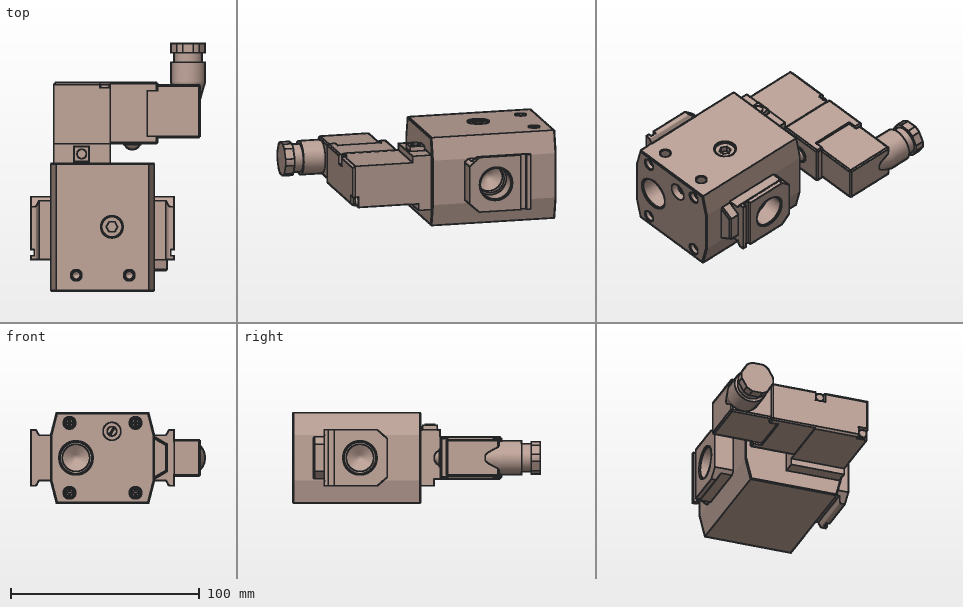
import cadquery as cq
import math


HOUSING_LENGTH = 68.0
HOUSING_HEIGHT = 48.0
HOUSING_HALF_WIDTH = 27.5
TOP_HALF_WIDTH = 24.5
SIDE_HALF_HEIGHT = 12.1
END_CHAMFER = 0.5

FLANGE_REACH = 38.0
FLANGE_FRONT = 16.8
FLANGE_BACK = 50.2
FLANGE_HALF_HEIGHT = 14.9
FLANGE_RIM = 2.8
FLANGE_RIM_FILLET = 1.0
FLANGE_NECK_REACH = FLANGE_REACH - 4.3
FLANGE_CORNER_Y = 5.3
FLANGE_CORNER_Z = 4.6
FLANGE_GROOVE_START = 19.0
FLANGE_GROOVE_WIDTH = 3.2
FLANGE_GROOVE_DEPTH = 1.7

PORT_MOUTH_RADIUS = 9.1
PORT_THREAD_RADIUS = 8.4
PORT_THREAD_DEPTH = 10.7
PORT_DRILL_RADIUS = 7.2
PORT_DRILL_DEPTH = 14.5
DRILL_POINT_ANGLE = 118
SIDE_PORT_Y = 35.8
FRONT_PORT_X = -14.1

SCREW_HALF_SPACING_X = 17.5
SCREW_HALF_SPACING_Z = 18.5
SCREW_MOUTH_RADIUS = 3.3
SCREW_HOLE_RADIUS = 2.9
SCREW_DEPTH = 3.2
SCREW_CROWN_RADIUS = 2.1
SCREW_CROWN_HEIGHT = 0.7
CROSS_LENGTH = 2.6
CROSS_WIDTH = 0.9
CROSS_DEPTH = 1.0

NEEDLE_X = 5.0
NEEDLE_Z = 14.1
NEEDLE_HOLE_RADIUS = 4.7
NEEDLE_HOLE_DEPTH = 4.7
NEEDLE_RADIUS = 2.5
NEEDLE_HEIGHT = 2.0
NEEDLE_SLOT_WIDTH = 0.7
NEEDLE_SLOT_DEPTH = 0.8
NEEDLE_SLOT_ANGLE = 60

PLUG_X = 5.0
PLUG_Y = 34.2
PLUG_MOUTH_RADIUS = 5.9
PLUG_RADIUS = 5.4
PLUG_DEPTH = 1.0
SOCKET_ACROSS_FLATS = 5.3
SOCKET_DEPTH = 3.3

MOUNT_MIDDLE_X = 0.1
MOUNT_HALF_SPACING = 14.1
MOUNT_Y = 8.5
MOUNT_MOUTH_RADIUS = 3.0
MOUNT_THREAD_RADIUS = 2.6
MOUNT_THREAD_DEPTH = 7.9
MOUNT_DRILL_RADIUS = 2.1
MOUNT_DRILL_DEPTH = 9.2

GAUGE_REACH = 34.3
GAUGE_FRONT = 10.9
GAUGE_ROOT_HALF_HEIGHT = 11.2
GAUGE_TIP_HALF_HEIGHT = 7.2
GAUGE_CHAMFER = 0.8

PILOT_LEFT = -25.9
PILOT_RIGHT = 4.2
PILOT_BACK = 110.9
PILOT_HALF_HEIGHT = 11.3
PILOT_BACK_CHAMFER = 1.2
FOOT_HALF_HEIGHT = 14.9
FOOT_TOP_LENGTH = 10.3
FOOT_BOTTOM_LENGTH = 7.1
POCKET_SIZE = 5.7
POCKET_DEPTH = 2.9
PILOT_SCREW_RADIUS = 2.2
PILOT_SCREW_HEIGHT = 1.6

OVERRIDE_X = -11.0
OVERRIDE_Y = HOUSING_LENGTH + 4.9
OVERRIDE_SIZE = 8.2
OVERRIDE_HEIGHT = 2.5
OVERRIDE_TAPER = 5
BUTTON_RADIUS = 2.5
BUTTON_HEIGHT = 0.4

COIL_RIGHT = 29.2
COIL_FRONT = 78.2
COIL_HALF_HEIGHT = 10.9
EDGE_CHAMFER = 0.8
COIL_SCREW_X = 15.8
COIL_SCREW_RADIUS = 4.6
COIL_SCREW_DOME_RADIUS = 4.0
COIL_SCREW_HEIGHT = 3.2
COIL_SCREW_RIM = 0.5

CONNECTOR_LEFT = 23.8
CONNECTOR_RIGHT = 51.8
CONNECTOR_FRONT = 81.5
CONNECTOR_BACK = 109.7
CONNECTOR_HALF_HEIGHT = 9.7
TONGUE_FRONT = CONNECTOR_FRONT + EDGE_CHAMFER
TONGUE_BACK = 106.4
GLAND_X = 45.4
GLAND_RADIUS = 9.1
GLAND_CONE_START = 102.2
GLAND_CONE_END = 110.7
GLAND_CONE_RADIUS = 6.6
GLAND_END = 121.5
GLAND_NECK_RADIUS = 7.5
NUT_START = 126.5
NUT_ACROSS_FLATS = 17.2
OVERALL_LENGTH = 131.5


def box(x_range, y_range, z_range):
    """A box between the given limits."""
    size = [high - low for low, high in (x_range, y_range, z_range)]
    return cq.Workplane("XY").box(*size, centered=False).translate((x_range[0], y_range[0], z_range[0]))


def symmetric(half):
    """The limits of a size centred on zero."""
    return (-half, half)


def hexagon(across_flats, plane):
    """A hexagon outline with two corners on the first axis of the plane."""
    corner_diameter = across_flats / math.cos(math.pi / 6)
    return cq.Workplane(plane).polygon(6, corner_diameter)


def chamfered_block(x_range, y_range, z_range):
    """A box with chamfered edges, except around its -X face."""
    block = box(x_range, y_range, z_range)
    return block.faces(">X or <Y or >Y").edges("not <X").chamfer(EDGE_CHAMFER)


def turned(profile, origin, direction):
    """A solid of revolution from (radius, height) points; height runs along direction."""
    plane = cq.Plane(origin=origin, normal=direction)
    outline = cq.Workplane("XZ").polyline(profile).close()
    solid = outline.revolve(360, (0, 0, 0), (0, 1, 0)).val()
    return cq.Workplane(solid.moved(cq.Location(plane)))


def stepped_cutter(mouth_radius, radius, depth, drill_radius, drill_depth, origin, direction):
    """A chamfered hole, narrowing to a drilled hole that ends in a drill point."""
    mouth_chamfer = mouth_radius - radius
    point_depth = drill_radius / math.tan(math.radians(DRILL_POINT_ANGLE / 2))
    profile = [
        (0, 0),
        (mouth_radius, 0),
        (radius, mouth_chamfer),
        (radius, depth),
        (drill_radius, depth),
        (drill_radius, drill_depth),
        (0, drill_depth + point_depth),
    ]
    return turned(profile, origin, direction)


def port_cutter(origin, direction):
    """A port with a thread bore and a smaller drilled bore behind it."""
    return stepped_cutter(
        PORT_MOUTH_RADIUS, PORT_THREAD_RADIUS, PORT_THREAD_DEPTH,
        PORT_DRILL_RADIUS, PORT_DRILL_DEPTH, origin, direction,
    )


def housing_block():
    half_height = HOUSING_HEIGHT / 2
    outline = [
        (-TOP_HALF_WIDTH, half_height),
        (TOP_HALF_WIDTH, half_height),
        (HOUSING_HALF_WIDTH, SIDE_HALF_HEIGHT),
        (HOUSING_HALF_WIDTH, -SIDE_HALF_HEIGHT),
        (TOP_HALF_WIDTH, -half_height),
        (-TOP_HALF_WIDTH, -half_height),
        (-HOUSING_HALF_WIDTH, -SIDE_HALF_HEIGHT),
        (-HOUSING_HALF_WIDTH, SIDE_HALF_HEIGHT),
    ]
    block = cq.Workplane("XZ").polyline(outline).close().extrude(-HOUSING_LENGTH)
    return block.faces("<Y or >Y").chamfer(END_CHAMFER)


def left_flange():
    """A dovetail-edged plate on a neck, with its back corners cut off and a groove across it."""
    upper_edge = [
        (0, SIDE_HALF_HEIGHT),
        (-FLANGE_NECK_REACH, SIDE_HALF_HEIGHT),
        (-FLANGE_REACH + FLANGE_RIM, FLANGE_HALF_HEIGHT),
        (-FLANGE_REACH, FLANGE_HALF_HEIGHT),
    ]
    lower_edge = [(x, -z) for x, z in reversed(upper_edge)]
    section = cq.Workplane("XZ").workplane(offset=-FLANGE_FRONT).polyline(upper_edge + lower_edge).close()
    flange = section.extrude(FLANGE_FRONT - FLANGE_BACK)
    rim_corners = cq.selectors.BoxSelector(
        (-FLANGE_REACH + FLANGE_RIM / 2, FLANGE_FRONT, -2 * FLANGE_HALF_HEIGHT),
        (-FLANGE_NECK_REACH - FLANGE_RIM_FILLET / 2, FLANGE_BACK, 2 * FLANGE_HALF_HEIGHT),
    )
    flange = flange.edges("|Y").edges(rim_corners).fillet(FLANGE_RIM_FILLET)

    corner_z = FLANGE_HALF_HEIGHT - FLANGE_CORNER_Z
    corner_y = FLANGE_BACK - FLANGE_CORNER_Y
    side_outline = [
        (FLANGE_FRONT, FLANGE_HALF_HEIGHT),
        (corner_y, FLANGE_HALF_HEIGHT),
        (FLANGE_BACK, corner_z),
        (FLANGE_BACK, -corner_z),
        (corner_y, -FLANGE_HALF_HEIGHT),
        (FLANGE_FRONT, -FLANGE_HALF_HEIGHT),
    ]
    envelope = cq.Workplane("YZ").polyline(side_outline).close().extrude(-FLANGE_REACH)
    groove = box(
        (-FLANGE_REACH, -FLANGE_REACH + FLANGE_GROOVE_DEPTH),
        (FLANGE_GROOVE_START, FLANGE_GROOVE_START + FLANGE_GROOVE_WIDTH),
        symmetric(FLANGE_HALF_HEIGHT),
    )
    return flange.intersect(envelope).cut(groove)


def gauge_block():
    """A tapered block in front of the right flange."""
    outline = [
        (0, GAUGE_ROOT_HALF_HEIGHT),
        (HOUSING_HALF_WIDTH, GAUGE_ROOT_HALF_HEIGHT),
        (GAUGE_REACH, GAUGE_TIP_HALF_HEIGHT),
        (GAUGE_REACH, -GAUGE_TIP_HALF_HEIGHT),
        (HOUSING_HALF_WIDTH, -GAUGE_ROOT_HALF_HEIGHT),
        (0, -GAUGE_ROOT_HALF_HEIGHT),
    ]
    block = cq.Workplane("XZ").workplane(offset=-GAUGE_FRONT).polyline(outline).close()
    return block.extrude(GAUGE_FRONT - FLANGE_FRONT).faces("<Y").chamfer(GAUGE_CHAMFER)


def cover_screw_cutter(x, z):
    """The recess above a sunk screw head, including its cross slot."""
    mouth_chamfer = SCREW_MOUTH_RADIUS - SCREW_HOLE_RADIUS
    crown_depth = SCREW_DEPTH - SCREW_CROWN_HEIGHT
    profile = [
        (0, 0),
        (SCREW_MOUTH_RADIUS, 0),
        (SCREW_HOLE_RADIUS, mouth_chamfer),
        (SCREW_HOLE_RADIUS, SCREW_DEPTH),
        (SCREW_CROWN_RADIUS, crown_depth),
        (0, crown_depth),
    ]
    recess = turned(profile, (x, 0, z), (0, 1, 0))
    for width, height in ((CROSS_LENGTH, CROSS_WIDTH), (CROSS_WIDTH, CROSS_LENGTH)):
        slot = box(symmetric(width / 2), (crown_depth, crown_depth + CROSS_DEPTH), symmetric(height / 2))
        recess = recess.union(slot.translate((x, 0, z)))
    return recess


def needle_cutter():
    """A round recess around a slotted needle that stands up from its floor."""
    tip_depth = NEEDLE_HOLE_DEPTH - NEEDLE_HEIGHT
    profile = [
        (0, 0),
        (NEEDLE_HOLE_RADIUS, 0),
        (NEEDLE_HOLE_RADIUS, NEEDLE_HOLE_DEPTH),
        (NEEDLE_RADIUS, NEEDLE_HOLE_DEPTH),
        (NEEDLE_RADIUS, tip_depth),
        (0, tip_depth),
    ]
    recess = turned(profile, (0, 0, 0), (0, 1, 0))
    slot = box(
        symmetric(NEEDLE_RADIUS),
        (tip_depth, tip_depth + NEEDLE_SLOT_DEPTH),
        symmetric(NEEDLE_SLOT_WIDTH / 2),
    ).rotate((0, 0, 0), (0, 1, 0), -NEEDLE_SLOT_ANGLE)
    return recess.union(slot).translate((NEEDLE_X, 0, NEEDLE_Z))


def plug_cutter():
    """The chamfered recess above a sunk plug, with its hexagon socket."""
    profile = [
        (0, 0),
        (PLUG_MOUTH_RADIUS, 0),
        (PLUG_RADIUS, PLUG_MOUTH_RADIUS - PLUG_RADIUS),
        (PLUG_RADIUS, PLUG_DEPTH),
        (0, PLUG_DEPTH),
    ]
    top = HOUSING_HEIGHT / 2
    recess = turned(profile, (PLUG_X, PLUG_Y, top), (0, 0, -1))
    socket = hexagon(SOCKET_ACROSS_FLATS, "XY").extrude(-SOCKET_DEPTH)
    return recess.union(socket.translate((PLUG_X, PLUG_Y, top - PLUG_DEPTH)))


def build_housing():
    flange = left_flange()
    housing = housing_block().union(flange).union(flange.mirror("YZ")).union(gauge_block())

    housing = housing.cut(port_cutter((FRONT_PORT_X, 0, 0), (0, 1, 0)))
    for side in (-1, 1):
        housing = housing.cut(port_cutter((side * FLANGE_REACH, SIDE_PORT_Y, 0), (-side, 0, 0)))

    for x in symmetric(SCREW_HALF_SPACING_X):
        for z in symmetric(SCREW_HALF_SPACING_Z):
            housing = housing.cut(cover_screw_cutter(x, z))

    for offset in symmetric(MOUNT_HALF_SPACING):
        mouth = (MOUNT_MIDDLE_X + offset, MOUNT_Y, HOUSING_HEIGHT / 2)
        housing = housing.cut(stepped_cutter(
            MOUNT_MOUTH_RADIUS, MOUNT_THREAD_RADIUS, MOUNT_THREAD_DEPTH,
            MOUNT_DRILL_RADIUS, MOUNT_DRILL_DEPTH, mouth, (0, 0, -1),
        ))
    return housing.cut(needle_cutter()).cut(plug_cutter())


def pilot_body():
    """The valve body with its wider foot, chamfered at the back."""
    width = (PILOT_LEFT, PILOT_RIGHT)
    foot_top_back = HOUSING_LENGTH + FOOT_TOP_LENGTH
    foot_bottom_back = HOUSING_LENGTH + FOOT_BOTTOM_LENGTH
    body = box(width, (HOUSING_LENGTH, PILOT_BACK), symmetric(PILOT_HALF_HEIGHT))
    body = body.faces(">Y").edges("not >X").chamfer(PILOT_BACK_CHAMFER)
    body = body.union(box(width, (HOUSING_LENGTH, foot_top_back), (0, FOOT_HALF_HEIGHT)))
    body = body.union(box(width, (HOUSING_LENGTH, foot_bottom_back), (-FOOT_HALF_HEIGHT, 0)))

    floor = PILOT_BACK - POCKET_DEPTH
    half_pocket = POCKET_SIZE / 2
    screw_z = PILOT_HALF_HEIGHT - half_pocket
    for x, z in ((PILOT_RIGHT - half_pocket, screw_z), (PILOT_LEFT + half_pocket, -screw_z)):
        pocket = box(symmetric(half_pocket), (floor, PILOT_BACK), symmetric(half_pocket))
        head = cq.Workplane("XZ").circle(PILOT_SCREW_RADIUS).extrude(-PILOT_SCREW_HEIGHT)
        body = body.cut(pocket.translate((x, 0, z))).union(head.translate((x, floor, z)))
    return body


def override():
    """A tapered square pad with a round button on the foot."""
    base = cq.Workplane("XY").rect(OVERRIDE_SIZE, OVERRIDE_SIZE)
    base = base.extrude(OVERRIDE_HEIGHT, taper=OVERRIDE_TAPER)
    button = cq.Workplane("XY").circle(BUTTON_RADIUS).extrude(OVERRIDE_HEIGHT + BUTTON_HEIGHT)
    return base.union(button).translate((OVERRIDE_X, OVERRIDE_Y, FOOT_HALF_HEIGHT))


def coil():
    """The coil block, thinned where the connector reaches into it, with a domed screw."""
    block = chamfered_block((PILOT_RIGHT, COIL_RIGHT), (COIL_FRONT, PILOT_BACK), symmetric(COIL_HALF_HEIGHT))
    for z_range in (
        (CONNECTOR_HALF_HEIGHT, COIL_HALF_HEIGHT),
        (-COIL_HALF_HEIGHT, -CONNECTOR_HALF_HEIGHT),
    ):
        block = block.cut(box((CONNECTOR_LEFT, COIL_RIGHT), (TONGUE_FRONT, TONGUE_BACK), z_range))

    dome_height = COIL_SCREW_HEIGHT - COIL_SCREW_RIM
    sphere_radius = (COIL_SCREW_DOME_RADIUS**2 + dome_height**2) / (2 * dome_height)
    rim = cq.Workplane("XZ").circle(COIL_SCREW_RADIUS).extrude(COIL_SCREW_RIM)
    shank = cq.Workplane("XZ").circle(COIL_SCREW_DOME_RADIUS).extrude(COIL_SCREW_HEIGHT)
    ball = cq.Workplane("XY").sphere(sphere_radius).translate((0, sphere_radius - COIL_SCREW_HEIGHT, 0))
    screw = rim.union(shank.intersect(ball)).translate((COIL_SCREW_X, COIL_FRONT, 0))
    return block.union(screw)


def connector():
    """The plug housing beside the coil."""
    return chamfered_block(
        (COIL_RIGHT, CONNECTOR_RIGHT),
        (CONNECTOR_FRONT, CONNECTOR_BACK),
        symmetric(CONNECTOR_HALF_HEIGHT),
    )


def cable_gland():
    """The gland that rises from the connector, ending in a hexagon nut with rounded corners."""
    profile = [
        (0, GLAND_CONE_START),
        (GLAND_CONE_RADIUS, GLAND_CONE_START),
        (GLAND_RADIUS, GLAND_CONE_END),
        (GLAND_RADIUS, GLAND_END),
        (GLAND_NECK_RADIUS, GLAND_END),
        (GLAND_NECK_RADIUS, NUT_START),
        (0, NUT_START),
    ]
    stem = turned(profile, (GLAND_X, 0, 0), (0, 1, 0))
    nut_length = OVERALL_LENGTH - NUT_START
    nut = hexagon(NUT_ACROSS_FLATS, "XZ").extrude(-nut_length)
    rounding = cq.Workplane("XZ").circle(GLAND_RADIUS).extrude(-nut_length)
    return stem.union(nut.intersect(rounding).translate((GLAND_X, NUT_START, 0)))


def build_pilot():
    return pilot_body().union(override()).union(coil()).union(connector()).union(cable_gland())


housing = build_housing()
pilot = build_pilot()

result = cq.Compound.makeCompound([housing.solids().val(), pilot.solids().val()])